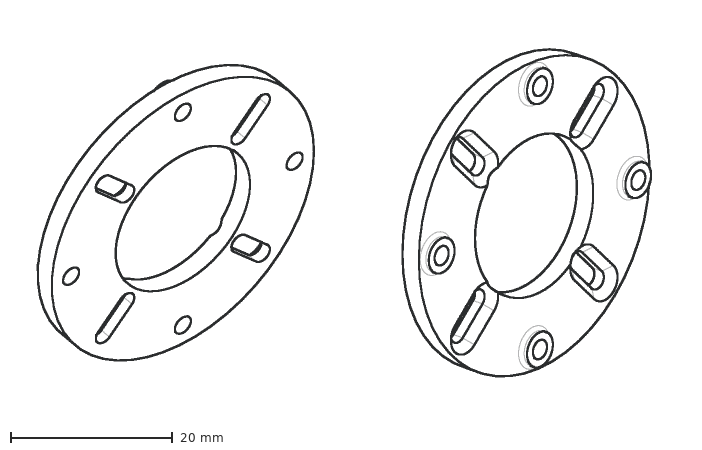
import cadquery as cq
import math

plate_diameter = 41.05
bore_diameter = 21.0
plate_thickness = 2.85

boss_count = 4
boss_circle_radius = 17.5
boss_diameter = 4.6
boss_height = 1.0
boss_fillet = boss_height / 2
hole_diameter = 2.5

slot_count = 4
slot_first_angle = 45.0
slot_inner_radius = 12.5
slot_outer_radius = boss_circle_radius
slot_width = hole_diameter
countersink_width = 4.9
countersink_flank_angle = 45.0

slot_spacing = slot_outer_radius - slot_inner_radius
slot_mid_radius = (slot_inner_radius + slot_outer_radius) / 2
countersink_reach = (countersink_width - slot_width) / 2
countersink_depth = countersink_reach / math.tan(math.radians(countersink_flank_angle))


def make_plate():
    """Flat ring extruded toward +X."""
    return (
        cq.Workplane("YZ")
        .circle(plate_diameter / 2)
        .circle(bore_diameter / 2)
        .extrude(plate_thickness)
    )


def make_boss():
    """Solid boss at the top of the ring, with a concave fillet at its root."""
    radius = boss_diameter / 2
    root_radius = radius + boss_fillet
    embedded_end = plate_thickness / 2
    arc_offset = boss_fillet * (1 - math.sqrt(0.5))
    profile = (
        cq.Workplane("XY")
        .moveTo(embedded_end, 0)
        .lineTo(-boss_height, 0)
        .lineTo(-boss_height, radius)
        .lineTo(-boss_fillet, radius)
        .threePointArc((-arc_offset, radius + arc_offset), (0, root_radius))
        .lineTo(embedded_end, root_radius)
        .close()
    )
    boss = profile.revolve(360, (0, 0, 0), (1, 0, 0))
    return boss.translate((0, 0, boss_circle_radius))


def make_boss_hole():
    """Hole cutter through one boss and the plate."""
    return (
        cq.Workplane("YZ", origin=(-boss_height, 0, boss_circle_radius))
        .circle(hole_diameter / 2)
        .extrude(boss_height + plate_thickness)
    )


def make_slot():
    """Cutter for one radial slot along +Y with its tapered countersink."""
    front = cq.Workplane("YZ").center(slot_mid_radius, 0)
    through = front.slot2D(slot_spacing + slot_width, slot_width).extrude(plate_thickness)
    countersink = front.slot2D(slot_spacing + countersink_width, countersink_width).extrude(
        countersink_depth, taper=countersink_flank_angle
    )
    return through.union(countersink)


def turned(body, angle):
    """Copy of a body turned about the ring axis."""
    return body.rotate((0, 0, 0), (1, 0, 0), angle)


result = make_plate()

boss = make_boss()
boss_hole = make_boss_hole()
for index in range(boss_count):
    angle = index * 360 / boss_count
    result = result.union(turned(boss, angle)).cut(turned(boss_hole, angle))

slot = make_slot()
for index in range(slot_count):
    angle = slot_first_angle + index * 360 / slot_count
    result = result.cut(turned(slot, angle))